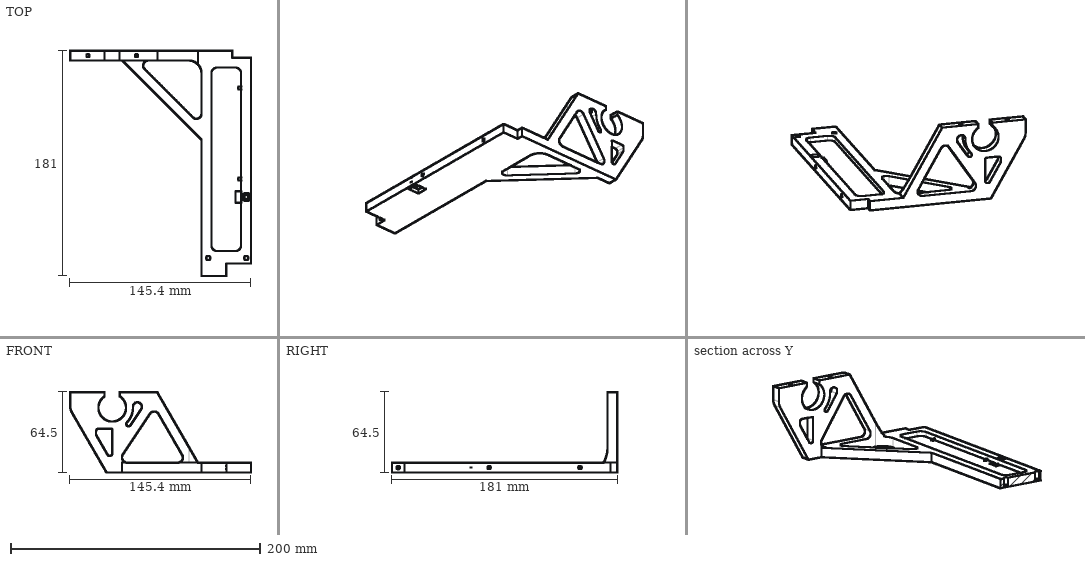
import cadquery as cq
import math


THICKNESS = 8.0
WINDOW_RADIUS = 4.0
TAP_DIAMETER = 2.5

RAIL_WIDTH = 40.0
RAIL_LENGTH = 181.0
BACK_STEP_X = 25.0
BACK_STEP_DEPTH = 5.5
TAB_WIDTH = 20.0
TAB_LENGTH = 10.0

POCKET_WIDTH = 24.0
POCKET_FRONT_Y = -161.0
POCKET_RADIUS = 5.0
POCKET_DEPTH = 4.0

EDGE_INSET = 4.0
RAIL_HOLE_DIAMETER = 3.4
FRONT_HOLE_Y = -166.5
FRONT_HOLE_LEFT_X = 5.5
BLIND_HOLE_DEPTH = 6.0
COUNTERBORE_DIAMETER = 6.5
COUNTERBORE_DEPTH = 4.0
SCREW_HOLE_DEPTH = 4.25
SCREW_Y = -117.5
FLOOR_SLOT_LENGTH = 9.0
FLOOR_SLOT_WIDTH = 4.5
UNDERCUT_REACH = 6.0
UNDERCUT_HEIGHT = 3.5
SIDE_HOLE_YS = (-30.0, -103.0)
SIDE_HOLE_REACH = 10.0
DRILL_HALF_ANGLE = math.radians(59.0)
TAB_HOLE_Y = -176.0

WALL_LEFT = -105.38
WALL_HEIGHT = 64.5
WALL_TOP_WIDTH = 70.0
WALL_LEFT_CORNER_Z = 50.5
WALL_LEFT_CORNER_RADIUS = 10.0
SLOPE_ANGLE = math.radians(30)
SLOPE = math.tan(SLOPE_ANGLE)
STRUT_RUN = THICKNESS / math.cos(SLOPE_ANGLE)
WALL_TOP_RIGHT = WALL_LEFT + WALL_TOP_WIDTH

SEAT_X = WALL_LEFT + 33.8
SEAT_Z = 52.0
SEAT_RADIUS = 11.0
SEAT_MOUTH = 12.0
SEAT_SCREW_SPACING = 39.0
SEAT_SCREW_DEPTH = 10.0

SMALL_WINDOW_TOP = 35.1
SMALL_WINDOW_LEFT = WALL_LEFT + 20.9
SMALL_WINDOW_RADIUS = 2.0
SMALL_WINDOW_RIGHT_RADIUS = 1.0

INNER_LEAN = math.radians(33.6)
LEANING_EDGE_FOOT = WALL_LEFT + 38.1
TAPER_SLOT_INNER_RADIUS = 16.75
TAPER_SLOT_LINE_DISTANCE = 19.9
TAPER_SLOT_TOP_RADIUS = 3.5
TAPER_SLOT_BOTTOM_RADIUS = 1.75

BRACE_LEFT = -63.6
GUSSET_RADIUS = 10.0


def wall_prism(points):
    """Extrude an X-Z outline through the wall thickness."""
    return cq.Workplane("XZ").polyline(points).close().extrude(THICKNESS)


def plate_prism(points):
    """Extrude an X-Y outline through the plate thickness."""
    return cq.Workplane("XY").polyline(points).close().extrude(THICKNESS)


def fillet_edge(body, axis, point, radius):
    """Round the edge along the given axis nearest to a point."""
    return body.edges("|" + axis).edges(cq.NearestToPointSelector(point)).fillet(radius)


def rounded_wall_window(points, radii):
    """Window through the wall, each corner of its X-Z outline rounded with its own radius."""
    body = wall_prism(points)
    for (x, z), radius in zip(points, radii):
        body = fillet_edge(body, "Y", (x, -THICKNESS / 2, z), radius)
    return body


def rounded_plate_window(points, radii):
    """Window through the plate, each corner of its X-Y outline rounded with its own radius."""
    body = plate_prism(points)
    for (x, y), radius in zip(points, radii):
        body = fillet_edge(body, "Z", (x, y, THICKNESS / 2), radius)
    return body


def right_slope_x(z):
    return WALL_TOP_RIGHT + (WALL_HEIGHT - z) * SLOPE


def left_slope_x(z):
    return WALL_LEFT + (WALL_LEFT_CORNER_Z - z) * SLOPE


def wall_outline():
    return [
        (WALL_LEFT, WALL_HEIGHT),
        (WALL_TOP_RIGHT, WALL_HEIGHT),
        (right_slope_x(0), 0),
        (left_slope_x(0), 0),
        (WALL_LEFT, WALL_LEFT_CORNER_Z),
    ]


def make_rail():
    points = [
        (0, 0),
        (BACK_STEP_X, 0),
        (BACK_STEP_X, -BACK_STEP_DEPTH),
        (RAIL_WIDTH, -BACK_STEP_DEPTH),
        (RAIL_WIDTH, TAB_LENGTH - RAIL_LENGTH),
        (TAB_WIDTH, TAB_LENGTH - RAIL_LENGTH),
        (TAB_WIDTH, -RAIL_LENGTH),
        (0, -RAIL_LENGTH),
    ]
    strip = cq.Workplane("XY").box(GUSSET_RADIUS, THICKNESS, THICKNESS, centered=False)
    return plate_prism(points).union(strip.translate((-GUSSET_RADIUS, -THICKNESS, 0)))


def make_brace():
    """45-degree strut from the wall to the rail."""
    span = -BRACE_LEFT
    run = THICKNESS * math.sqrt(2)
    outer = [(BRACE_LEFT, -THICKNESS), (0, -THICKNESS), (0, -THICKNESS - span)]
    inner = [(BRACE_LEFT + run, -THICKNESS), (0, -THICKNESS), (0, -THICKNESS - span + run)]
    radii = (WINDOW_RADIUS, GUSSET_RADIUS, WINDOW_RADIUS)
    window = rounded_plate_window(inner, radii)
    return plate_prism(outer).cut(window)


def make_gusset():
    """Concave corner between wall and rail, rising to the sloping edge of the wall."""
    low = -THICKNESS - GUSSET_RADIUS
    corner = (
        cq.Workplane("XY")
        .moveTo(-GUSSET_RADIUS, -THICKNESS)
        .lineTo(0, -THICKNESS)
        .lineTo(0, low)
        .radiusArc((-GUSSET_RADIUS, -THICKNESS), -GUSSET_RADIUS)
        .close()
        .extrude(WALL_HEIGHT)
    )
    under_slope = cq.Workplane("XZ").polyline(wall_outline()).close().extrude(-low)
    return corner.intersect(under_slope)


def seat_cutter():
    bore = cq.Workplane("XZ").center(SEAT_X, SEAT_Z).circle(SEAT_RADIUS).extrude(THICKNESS)
    left = SEAT_X - SEAT_MOUTH / 2
    right = SEAT_X + SEAT_MOUTH / 2
    mouth = wall_prism([(left, SEAT_Z), (right, SEAT_Z), (right, WALL_HEIGHT), (left, WALL_HEIGHT)])
    return bore.union(mouth)


def small_window_cutter():
    def sloping_edge_z(x):
        return WALL_LEFT_CORNER_Z - (x - STRUT_RUN - WALL_LEFT) / SLOPE

    points = [
        (SMALL_WINDOW_LEFT, SMALL_WINDOW_TOP),
        (SEAT_X, SMALL_WINDOW_TOP),
        (SEAT_X, sloping_edge_z(SEAT_X)),
        (SMALL_WINDOW_LEFT, sloping_edge_z(SMALL_WINDOW_LEFT)),
    ]
    radii = (SMALL_WINDOW_RADIUS, SMALL_WINDOW_RIGHT_RADIUS, SMALL_WINDOW_RADIUS, SMALL_WINDOW_RADIUS)
    return rounded_wall_window(points, radii)


def large_window_cutter():
    lean = math.tan(INNER_LEAN)
    left = BRACE_LEFT
    right = right_slope_x(THICKNESS) - STRUT_RUN
    rise = (right - LEANING_EDGE_FOOT) / (lean + SLOPE)
    points = [
        (left, THICKNESS),
        (left, THICKNESS + (left - LEANING_EDGE_FOOT) / lean),
        (right - rise * SLOPE, THICKNESS + rise),
        (right, THICKNESS),
    ]
    return rounded_wall_window(points, [WINDOW_RADIUS] * len(points))


def taper_slot_cutter():
    """Slot with one side concentric with the seat, one straight side and two round ends."""
    normal = (math.cos(INNER_LEAN), -math.sin(INNER_LEAN))
    along = (math.sin(INNER_LEAN), math.cos(INNER_LEAN))

    def place(across, up):
        x = SEAT_X + across * normal[0] + up * along[0]
        z = SEAT_Z + across * normal[1] + up * along[1]
        return (x, z)

    def end_height(radius):
        reach = TAPER_SLOT_INNER_RADIUS + radius
        return math.sqrt(reach**2 - (TAPER_SLOT_LINE_DISTANCE - radius) ** 2)

    def inner_tangent(radius, up):
        scale = TAPER_SLOT_INNER_RADIUS / (TAPER_SLOT_INNER_RADIUS + radius)
        return place((TAPER_SLOT_LINE_DISTANCE - radius) * scale, up * scale)

    top_radius = TAPER_SLOT_TOP_RADIUS
    bottom_radius = TAPER_SLOT_BOTTOM_RADIUS
    top_up = end_height(top_radius)
    bottom_up = -end_height(bottom_radius)
    top_crown = place(TAPER_SLOT_LINE_DISTANCE - top_radius, top_up + top_radius)
    bottom_crown = place(TAPER_SLOT_LINE_DISTANCE - bottom_radius, bottom_up - bottom_radius)
    inner_middle = place(TAPER_SLOT_INNER_RADIUS, 0)
    return (
        cq.Workplane("XZ")
        .moveTo(*place(TAPER_SLOT_LINE_DISTANCE, bottom_up))
        .lineTo(*place(TAPER_SLOT_LINE_DISTANCE, top_up))
        .threePointArc(top_crown, inner_tangent(top_radius, top_up))
        .threePointArc(inner_middle, inner_tangent(bottom_radius, bottom_up))
        .threePointArc(bottom_crown, place(TAPER_SLOT_LINE_DISTANCE, bottom_up))
        .close()
        .extrude(THICKNESS)
    )


def make_wall():
    wall = wall_prism(wall_outline())
    left_corner = (WALL_LEFT, -THICKNESS / 2, WALL_LEFT_CORNER_Z)
    wall = fillet_edge(wall, "Y", left_corner, WALL_LEFT_CORNER_RADIUS)
    wall = wall.cut(seat_cutter())
    wall = wall.cut(small_window_cutter())
    wall = wall.cut(large_window_cutter())
    wall = wall.cut(taper_slot_cutter())
    for side in (-1, 1):
        x = SEAT_X + side * SEAT_SCREW_SPACING / 2
        screw = cq.Workplane("XY").circle(TAP_DIAMETER / 2).extrude(SEAT_SCREW_DEPTH)
        wall = wall.cut(screw.translate((x, -THICKNESS / 2, WALL_HEIGHT - SEAT_SCREW_DEPTH)))
    return wall


def pocket_cutter():
    back_y = -BACK_STEP_DEPTH - THICKNESS
    length = back_y - POCKET_FRONT_Y
    pocket = cq.Workplane("XY").box(POCKET_WIDTH, length, POCKET_DEPTH, centered=False)
    pocket = pocket.edges("|Z").fillet(POCKET_RADIUS)
    return pocket.translate((THICKNESS, POCKET_FRONT_Y, THICKNESS - POCKET_DEPTH))


def rail_hole_cutter(x, y, diameter, depth):
    """Flat-bottomed hole sunk from the top of the rail."""
    hole = cq.Workplane("XY").center(x, y).circle(diameter / 2).extrude(depth)
    return hole.translate((0, 0, THICKNESS - depth))


def floor_slot_cutter():
    """Slot through the pocket floor that runs on under the rim as a low undercut."""
    rim_x = THICKNESS + POCKET_WIDTH
    low_y = SCREW_Y - FLOOR_SLOT_LENGTH / 2
    opening = cq.Workplane("XY").box(FLOOR_SLOT_WIDTH, FLOOR_SLOT_LENGTH, THICKNESS, centered=False)
    undercut = cq.Workplane("XY").box(UNDERCUT_REACH, FLOOR_SLOT_LENGTH, UNDERCUT_HEIGHT, centered=False)
    opening = opening.translate((rim_x - FLOOR_SLOT_WIDTH, low_y, 0))
    return opening.union(undercut.translate((rim_x, low_y, 0)))


def side_hole_cutter(y):
    """Drilled hole from the right side of the rail, ending in a drill point."""
    radius = TAP_DIAMETER / 2
    tip = SIDE_HOLE_REACH + radius / math.tan(DRILL_HALF_ANGLE)
    profile = [(0, 0), (0, radius), (-SIDE_HOLE_REACH, radius), (-tip, 0)]
    drill = cq.Workplane("XY").polyline(profile).close().revolve(360, (0, 0, 0), (1, 0, 0))
    return drill.translate((RAIL_WIDTH, y, THICKNESS / 2))


def cut_rail_features(body):
    body = body.cut(pocket_cutter())
    hole_x = RAIL_WIDTH - EDGE_INSET
    for x in (FRONT_HOLE_LEFT_X, hole_x):
        body = body.cut(rail_hole_cutter(x, FRONT_HOLE_Y, RAIL_HOLE_DIAMETER, BLIND_HOLE_DEPTH))
    body = body.cut(rail_hole_cutter(hole_x, SCREW_Y, RAIL_HOLE_DIAMETER, SCREW_HOLE_DEPTH))
    body = body.cut(rail_hole_cutter(hole_x, SCREW_Y, COUNTERBORE_DIAMETER, COUNTERBORE_DEPTH))
    body = body.cut(floor_slot_cutter())
    for y in SIDE_HOLE_YS:
        body = body.cut(side_hole_cutter(y))
    tab_hole = cq.Workplane("YZ").center(TAB_HOLE_Y, THICKNESS / 2).circle(TAP_DIAMETER / 2)
    return body.cut(tab_hole.extrude(TAB_WIDTH))


frame = make_rail().union(make_brace()).union(make_gusset()).union(make_wall())
result = cut_rail_features(frame).clean()